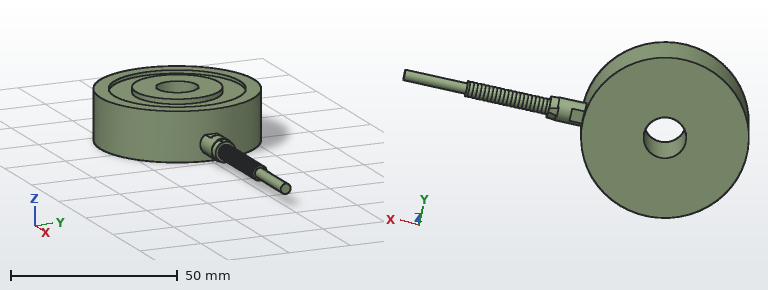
import cadquery as cq

body_diameter = 50.3
body_radius = body_diameter / 2
total_height = 16.5
pad_proud = 0.5
rim_height = total_height - pad_proud
recess_diameter = 41.1
recess_depth = 1.0
pad_diameter = 27.2
bore_diameter = 12.7

total_length = 105.2
cable_axis_height = 5.4
cable_diameter = 3.3
cable_end = total_length - body_radius
root_overlap = 2.1

gland_diameter = 7.0
gland_end = 33.3
gland_flats_width = 5.9
gland_flats_end = 28.9

nose_base_diameter = 6.8
nose_tip_diameter = 6.5
nose_end = 35.7
nose_flats_width = 6.4
nose_flats_start = 32.9

relief_end = 61.0
relief_diameter = 4.7
valley_diameter = 4.2
first_valley = 36.5
last_valley = 60.3
full_rib_count = 20
rib_pitch = (last_valley - first_valley) / full_rib_count
ribs_start = first_valley - rib_pitch
rib_count = full_rib_count + 2


def make_body():
    body = cq.Workplane("XY").circle(body_radius).extrude(rim_height)
    floor_height = rim_height - recess_depth
    recess = (
        cq.Workplane("XY")
        .workplane(offset=floor_height)
        .circle(recess_diameter / 2)
        .extrude(recess_depth)
    )
    pad = cq.Workplane("XY").circle(pad_diameter / 2).extrude(total_height)
    bore = cq.Workplane("XY").circle(bore_diameter / 2).extrude(total_height)
    return body.cut(recess).union(pad).cut(bore)


def revolve_about_cable(profile):
    """Revolve an (x, radius) profile about the X axis and lift it to the cable height."""
    turned = profile.close().revolve(360, (0, 0, 0), (1, 0, 0))
    return turned.translate((0, 0, cable_axis_height))


def flats(start, end, width):
    """Cutters that leave a top and bottom flat, 'width' apart, between two X positions."""
    length = end - start
    center = (start + length / 2, 0, cable_axis_height)
    envelope = cq.Workplane("XY").box(length, 2 * gland_diameter, 2 * gland_diameter)
    core = cq.Workplane("XY").box(length, 2 * gland_diameter, width)
    return envelope.cut(core).translate(center)


def make_gland():
    root = body_radius - root_overlap
    profile = (
        cq.Workplane("XY")
        .moveTo(root, 0)
        .lineTo(root, gland_diameter / 2)
        .lineTo(gland_end, gland_diameter / 2)
        .lineTo(gland_end, nose_base_diameter / 2)
        .lineTo(nose_end, nose_tip_diameter / 2)
        .lineTo(nose_end, 0)
    )
    gland = revolve_about_cable(profile)
    gland = gland.cut(flats(root, gland_flats_end, gland_flats_width))
    return gland.cut(flats(nose_flats_start, nose_end, nose_flats_width))


def make_bend_relief():
    crest = relief_diameter / 2
    valley = valley_diameter / 2
    profile = cq.Workplane("XY").moveTo(ribs_start, 0).lineTo(ribs_start, valley)
    for index in range(rib_count):
        rib_start = ribs_start + index * rib_pitch
        rib_top = (rib_start + rib_pitch / 2, crest)
        rib_end = (rib_start + rib_pitch, valley)
        profile = profile.threePointArc(rib_top, rib_end)
    ribs_end = ribs_start + rib_count * rib_pitch
    ribs = revolve_about_cable(profile.lineTo(ribs_end, 0))

    trim = (
        cq.Workplane("YZ")
        .workplane(offset=relief_end)
        .center(0, cable_axis_height)
        .circle(relief_diameter)
        .extrude(rib_pitch)
    )
    return ribs.cut(trim)


def make_cable():
    cable = cq.Workplane("YZ").circle(cable_diameter / 2).extrude(cable_end - nose_end)
    return cable.translate((nose_end, 0, cable_axis_height))


result = make_body().union(make_gland()).union(make_bend_relief()).union(make_cable())